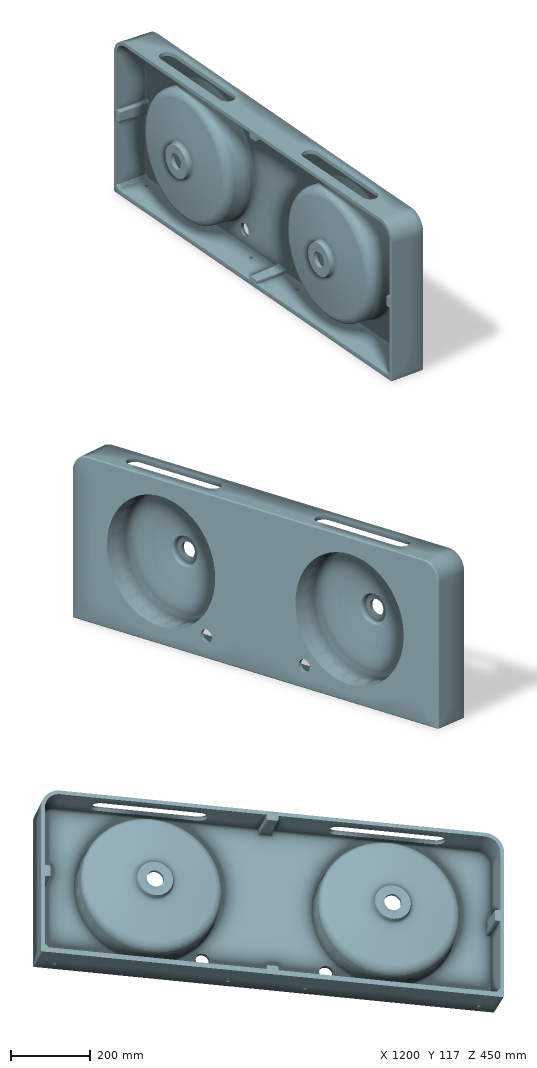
import cadquery as cq
import math


length = 1200.0
height = 450.0
depth = 100.0
wall = 10.0
bottom_wall = 13.0
back_wall = 11.0
draft_angle = 1.0
inner_draft_angle = 2.0
inner_side_draft_angle = 3.0
top_corner_radius = 50.0
lower_corner_radius = 4.0
lower_inner_chamfer = 10.0
back_edge_radius = 4.0
floor_fillet = 5.0

rib_width = 30.0
rib_end_depth = 24.0
rib_corner_radius = 4.0

dome_spacing = 616.0
dome_wall = 10.0
dome_foot_fillet = 6.0
dome_base_radius = 187.0
dome_shoulder_radius = 182.0
dome_shoulder_height = 88.0
dome_crown_height = 104.2
dome_shoulder_fillet = 22.0
hub_base_radius = 49.0
hub_base_fillet = 5.0
hub_top_radius = 46.0
hub_height = 117.0
hub_hole_diameter = 44.0

slot_length = 300.0
slot_width = 44.0
slot_from_back = 51.0
back_hole_diameter = 36.0
back_hole_x = 160.0
back_hole_z = -164.0
drain_diameter = 10.0
drain_from_back = 33.0
drain_positions = (-550.0, -100.0, 100.0, 550.0)

selection_margin = 0.1

cavity_depth = depth - back_wall
dome_centers = (-dome_spacing / 2, dome_spacing / 2)


def drafted_block(half_x, bottom, top, deep, side_draft, bottom_draft, top_draft):
    """Block from the rim plane toward +Y; each draft angle makes its side lean inward."""

    def section(y):
        def lean(draft):
            return y * math.tan(math.radians(draft))

        x = half_x - lean(side_draft)
        low = bottom + lean(bottom_draft)
        high = top - lean(top_draft)
        corners = [(-x, low), (x, low), (x, high), (-x, high)]
        return cq.Wire.makePolygon([cq.Vector(px, y, pz) for px, pz in corners], close=True)

    return cq.Workplane(cq.Solid.makeLoft([section(0), section(deep)], True))


def running_edges(block, side):
    """Edges on one side of a block that run from the rim to the back."""
    return block.edges("not(#Y)").edges(side)


def make_tray_block():
    """Outer block: rounded top corners, upright bottom and a rounded back edge."""
    block = drafted_block(
        length / 2, -height / 2, height / 2, depth, draft_angle, 0, draft_angle
    )
    block = running_edges(block, ">Z").fillet(top_corner_radius)
    block = running_edges(block, "<Z").fillet(lower_corner_radius)
    return block.faces(">Y").edges().fillet(back_edge_radius)


def make_ribs():
    """Ribs at the middle of the four walls; they widen toward the back."""
    half_rib = rib_width / 2
    ribs_across = drafted_block(
        length / 2, -half_rib, half_rib, cavity_depth, 0, -inner_draft_angle, -inner_draft_angle
    )
    ribs_upright = drafted_block(
        half_rib, -height / 2, height / 2, cavity_depth, -inner_draft_angle, 0, 0
    )
    between_x = length / 2 - rib_end_depth
    between_z = height / 2 - rib_end_depth
    between_ribs = drafted_block(
        between_x,
        -between_z,
        between_z,
        cavity_depth,
        inner_draft_angle,
        inner_draft_angle,
        inner_draft_angle,
    )
    ribs = ribs_across.union(ribs_upright).cut(between_ribs)
    tip_x = between_x + selection_margin
    tip_z = between_z + selection_margin
    around_tips = cq.selectors.BoxSelector((-tip_x, 0, -tip_z), (tip_x, depth, tip_z))
    return ribs.edges("not(#Y)").edges(around_tips).fillet(rib_corner_radius)


def make_cavity():
    """Drafted inside of the tray, interrupted by the ribs and rounded at the floor."""
    cavity = drafted_block(
        length / 2 - wall,
        -height / 2 + bottom_wall,
        height / 2 - wall,
        cavity_depth,
        inner_side_draft_angle,
        inner_draft_angle,
        inner_draft_angle,
    )
    cavity = running_edges(cavity, ">Z").fillet(top_corner_radius - wall)
    cavity = running_edges(cavity, "<Z").chamfer(lower_inner_chamfer)
    cavity = cavity.cut(make_ribs())
    return cavity.faces(">Y").edges().fillet(floor_fillet)


def ring_edges(solid, radius, near_y, far_y):
    """Circular edges about the Y axis, no larger than the radius, between two Y positions."""
    reach = radius + selection_margin
    box = cq.selectors.BoxSelector(
        (-reach, near_y - selection_margin, -reach),
        (reach, far_y + selection_margin, reach),
        boundingbox=True,
    )
    return solid.edges(box).edges("%CIRCLE")


def dome_solid(inset, back_y):
    """Dome with its hub about the Y axis; the inset offsets it inward to give the inside."""
    base_radius = dome_base_radius - inset
    shoulder_radius = dome_shoulder_radius - inset
    shoulder_y = depth - dome_shoulder_height + inset
    crown_y = depth - dome_crown_height + inset
    hub_base = hub_base_radius - inset
    hub_top = hub_top_radius - inset
    hub_y = depth - hub_height + inset
    crown_rise = shoulder_y - crown_y
    sphere_radius = (shoulder_radius**2 + crown_rise**2) / (2 * crown_rise)

    def crown_at(radius):
        return crown_y + sphere_radius - math.sqrt(sphere_radius**2 - radius**2)

    middle = (hub_base + shoulder_radius) / 2
    hub_foot_y = crown_at(hub_base)
    dome = (
        cq.Workplane("YZ")
        .moveTo(back_y, 0)
        .lineTo(back_y, base_radius)
        .lineTo(shoulder_y, shoulder_radius)
        .threePointArc((crown_at(middle), middle), (hub_foot_y, hub_base))
        .lineTo(hub_y, hub_top)
        .lineTo(hub_y, 0)
        .close()
        .revolve(360, (0, 0), (1, 0))
    )
    dome = ring_edges(dome, hub_base, hub_foot_y, hub_foot_y).fillet(hub_base_fillet)
    return ring_edges(dome, shoulder_radius, shoulder_y, shoulder_y).fillet(
        dome_shoulder_fillet - inset
    )


def at_domes(solid):
    """The same solid at both dome positions."""
    left, right = [solid.translate((x, 0, 0)) for x in dome_centers]
    return left.union(right)


def fillet_dome_feet(tray):
    """Round the junction of each dome with the tray floor."""
    feet_reach = dome_base_radius + selection_margin
    feet = cq.selectors.BoxSelector(
        (-length / 2, cavity_depth - selection_margin, -feet_reach),
        (length / 2, cavity_depth + selection_margin, feet_reach),
        boundingbox=True,
    )
    return tray.edges(feet).edges("%CIRCLE").fillet(dome_foot_fillet)


def make_slots():
    """Openings through the top wall above the domes."""
    cut_depth = 3 * wall
    return (
        cq.Workplane("XY", origin=(0, depth - slot_from_back, height / 2 - cut_depth))
        .pushPoints([(x, 0) for x in dome_centers])
        .slot2D(slot_length, slot_width)
        .extrude(cut_depth)
    )


def make_drains():
    """Small holes through the bottom wall."""
    return (
        cq.Workplane("XY", origin=(0, depth - drain_from_back, -height / 2))
        .pushPoints([(x, 0) for x in drain_positions])
        .circle(drain_diameter / 2)
        .extrude(2 * bottom_wall)
    )


def holes_from_back(centers, diameter, hole_depth):
    """Round holes running from the back face toward the rim."""
    return (
        cq.Workplane("XZ", origin=(0, depth, 0))
        .pushPoints(centers)
        .circle(diameter / 2)
        .extrude(hole_depth)
    )


back_hole_centers = [(-back_hole_x, back_hole_z), (back_hole_x, back_hole_z)]
hub_hole_centers = [(x, 0) for x in dome_centers]

tray = make_tray_block().cut(make_cavity())
tray = tray.union(at_domes(dome_solid(0, cavity_depth + back_wall / 2)))
tray = fillet_dome_feet(tray)
tray = tray.cut(at_domes(dome_solid(dome_wall, depth)))
tray = tray.cut(make_slots())
tray = tray.cut(make_drains())
tray = tray.cut(holes_from_back(back_hole_centers, back_hole_diameter, back_wall))
tray = tray.cut(holes_from_back(hub_hole_centers, hub_hole_diameter, hub_height))
result = tray.solids()